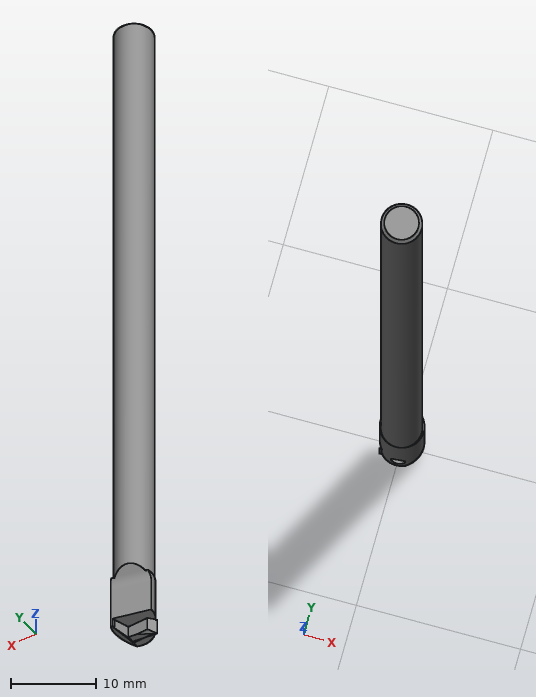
import cadquery as cq
import math

length = 99.7
shank_diameter = 4.9
shank_chamfer = 0.4
head_diameter = 5.3
head_top = 8.5
overall_depth = 4.9
head_radius = head_diameter / 2
head_front = shank_diameter / 2 - overall_depth
head_center_y = head_front + head_radius

nose_z = 0.3
relief_rise = 0.7
relief_run = 3.2
bevel_width = 1.6
bevel_height = 1.1

flute_tilt = 15.0
flute_floor = 1.0
flute_end_z = 7.1
flute_radius = 2.0
ramp_angle = math.radians(45)

seat_y = -1.5
insert_thickness = 0.9
insert_left = -2.3
insert_right = 1.2
insert_top = 2.3
insert_nose_rise = 0.6
pocket_flare = 0.8
pocket_depth = 3.0
end_relief_rise = 0.4
flank_relief = 0.8

hole_diameter = 1.7
hole_depth = 0.7
hole_x = 0.2
hole_z = 2.1

clearance = 5.0


def make_blank():
    """Round shank with a wider head set off towards -Y."""
    shank = (
        cq.Workplane("XY").workplane(offset=head_top)
        .circle(shank_diameter / 2).extrude(length - head_top)
        .faces(">Z").chamfer(shank_chamfer)
    )
    head = (
        cq.Workplane("XY").workplane(offset=nose_z)
        .center(0, head_center_y).circle(head_radius).extrude(head_top - nose_z)
    )
    return shank.union(head)


def make_relief_cutter():
    """Wedge that slopes the nose upwards from the seat towards +Y."""
    return (
        cq.Workplane("YZ")
        .polyline([
            (seat_y, nose_z),
            (seat_y + relief_run, nose_z + relief_rise),
            (seat_y + relief_run, nose_z),
        ]).close()
        .extrude(head_diameter, both=True)
    )


def make_bevel_cutter():
    """Wedge that bevels the +X side of the nose."""
    return (
        cq.Workplane("XZ")
        .polyline([
            (head_radius - bevel_width, nose_z),
            (head_radius, nose_z + bevel_height),
            (head_radius, nose_z),
        ]).close()
        .extrude(head_diameter, both=True)
    )


def arc_point(angle):
    """Point (y, z) on the flute run-out arc, at an angle from the floor."""
    return (
        flute_floor + flute_radius * (1 - math.cos(angle)),
        flute_end_z + flute_radius * math.sin(angle),
    )


def make_flute_cutter():
    """Everything outside the tilted flute floor and its run-out ramp."""
    arc_end = arc_point(ramp_angle)
    ramp_end = (arc_end[0] + clearance, arc_end[1] + clearance * math.tan(ramp_angle))
    return (
        cq.Workplane("YZ")
        .moveTo(flute_floor, -clearance)
        .lineTo(flute_floor, flute_end_z)
        .threePointArc(arc_point(ramp_angle / 2), arc_end)
        .lineTo(*ramp_end)
        .lineTo(ramp_end[0], -clearance).close()
        .extrude(clearance, both=True)
        .rotate((0, 0, 0), (0, 0, 1), flute_tilt)
    )


def make_pocket_cutter():
    """Insert pocket, open at the nose and at -X, that flares into the flute."""
    return (
        cq.Workplane("XY")
        .polyline([
            (-clearance, seat_y),
            (insert_right, seat_y),
            (insert_right, seat_y + insert_thickness),
            (insert_right + pocket_flare, seat_y + pocket_depth),
            (-clearance, seat_y + pocket_depth),
        ]).close()
        .extrude(insert_top)
    )


def make_screw_hole():
    """Blind hole in the front of the head."""
    return (
        cq.Workplane("XZ", origin=(hole_x, head_front + hole_depth, hole_z))
        .circle(hole_diameter / 2).extrude(clearance)
    )


def make_bar():
    bar = make_blank()
    bar = bar.cut(make_relief_cutter())
    bar = bar.cut(make_bevel_cutter())
    bar = bar.cut(make_flute_cutter())
    bar = bar.cut(make_pocket_cutter())
    return bar.cut(make_screw_hole())


def make_insert():
    """Cutting plate with its tip at -X and an end face and flank relieved towards +Y."""
    plate = (
        cq.Workplane("XZ", origin=(0, seat_y, 0))
        .polyline([
            (insert_left, 0),
            (insert_right, insert_nose_rise),
            (insert_right, insert_top),
            (insert_left, insert_top),
        ]).close()
        .extrude(-insert_thickness)
    )
    end_relief = (
        cq.Workplane("YZ")
        .polyline([
            (seat_y, 0),
            (seat_y + insert_thickness, end_relief_rise),
            (seat_y + insert_thickness, 0),
        ]).close()
        .extrude(clearance, both=True)
    )
    flank_cutter = (
        cq.Workplane("XY")
        .polyline([
            (insert_left, seat_y),
            (insert_left + flank_relief, seat_y + insert_thickness),
            (insert_left, seat_y + insert_thickness),
        ]).close()
        .extrude(insert_top)
    )
    return plate.cut(end_relief).cut(flank_cutter)


bar = make_bar()
insert = make_insert()
result = cq.Compound.makeCompound([bar.val(), insert.val()])